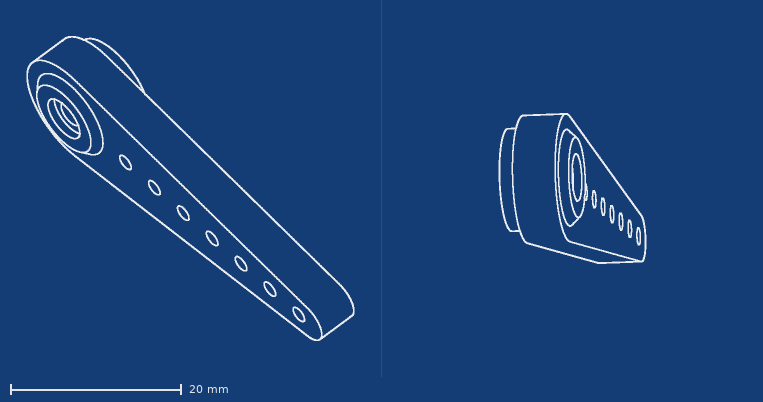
import cadquery as cq
import math

length = 51.0
hub_radius = 7.5
tip_radius = 2.75
arm_thickness = 5.1
tip_x = length - hub_radius - tip_radius

rear_boss_diameter = 12.05
rear_boss_height = 1.9
front_boss_base_radius = 5.65
front_boss_top_radius = 4.7
front_boss_height = 1.0
screw_hole_diameter = 3.2
counterbore_diameter = 5.5
counterbore_depth = 1.0

link_hole_diameter = 2.0
link_hole_count = 7
link_hole_pitch = 5.0
first_link_hole_x = 9.55

arm_front_y = -arm_thickness / 2
arm_rear_y = arm_thickness / 2
boss_front_y = arm_front_y - front_boss_height
boss_rear_y = arm_rear_y + rear_boss_height

toward_rear = cq.Vector(0, 1, 0)


def cylinder(x, diameter, start_y, end_y):
    """Cylinder parallel to Y, centred on the arm's mid-line at the given x."""
    return cq.Solid.makeCylinder(diameter / 2, end_y - start_y, cq.Vector(x, start_y, 0), toward_rear)


def arm_plate():
    """Flat plate whose straight flanks are tangent to the hub and tip circles."""
    lean = math.asin((hub_radius - tip_radius) / tip_x)
    hub_touch_x = hub_radius * math.sin(lean)
    hub_touch_z = hub_radius * math.cos(lean)
    tip_touch_x = tip_x + tip_radius * math.sin(lean)
    tip_touch_z = tip_radius * math.cos(lean)
    return (
        cq.Workplane("XZ", origin=(0, arm_rear_y, 0))
        .moveTo(hub_touch_x, hub_touch_z)
        .lineTo(tip_touch_x, tip_touch_z)
        .threePointArc((tip_x + tip_radius, 0), (tip_touch_x, -tip_touch_z))
        .lineTo(hub_touch_x, -hub_touch_z)
        .threePointArc((-hub_radius, 0), (hub_touch_x, hub_touch_z))
        .close()
        .extrude(arm_thickness)
    )


def front_boss():
    """Conical boss that narrows toward the front."""
    return cq.Solid.makeCone(
        front_boss_top_radius,
        front_boss_base_radius,
        front_boss_height,
        cq.Vector(0, boss_front_y, 0),
        toward_rear,
    )


rear_boss = cylinder(0, rear_boss_diameter, arm_rear_y, boss_rear_y)
result = arm_plate().union(front_boss()).union(rear_boss)

counterbore_floor_y = boss_front_y + counterbore_depth
result = result.cut(cylinder(0, screw_hole_diameter, boss_front_y, boss_rear_y))
result = result.cut(cylinder(0, counterbore_diameter, boss_front_y, counterbore_floor_y))

for index in range(link_hole_count):
    link_hole_x = first_link_hole_x + index * link_hole_pitch
    result = result.cut(cylinder(link_hole_x, link_hole_diameter, arm_front_y, arm_rear_y))